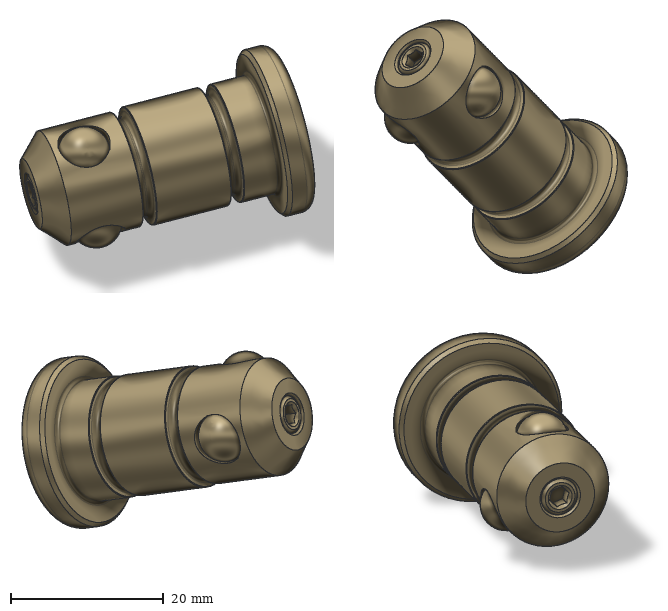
import cadquery as cq
import math


pin_length = 35.8
head_diameter = 22.5
head_thickness = 4.0
head_outer_round = 1.5
head_chamfer = 0.5
neck_fillet = 0.5
shank_radius = 8.0
nose_radius = 7.75
nose_taper = 3.0

groove_width = 1.7
groove_floor_radius = 6.65
groove_corner_radius = 0.75
groove_edge_chamfer = 0.1
groove_cut_clearance = 1.0
first_groove_center = 9.95
groove_spacing = 12.05
groove_count = 2

ball_radius = 3.43
ball_station = 28.5
ball_reach = 9.15
ball_count = 3
ball_center_radius = ball_reach - ball_radius

screw_radius = 2.5
screw_length = 4.0
screw_chamfer = 0.45
screw_hole_chamfer = 0.3
hexagon_sides = 6
socket_across_flats = 2.4
socket_depth = 2.0
socket_corner_radius = socket_across_flats / math.sqrt(3)
socket_mouth_radius = 1.65
socket_turn = 16.5

groove_centers = [first_groove_center + i * groove_spacing for i in range(groove_count)]
screw_end = pin_length - screw_length


def revolve_about_pin_axis(outline):
    """Revolve a closed (radius, y) outline about the Y axis."""
    return outline.close().revolve(360, (0, 0, 0), (0, 1, 0))


def cylinder(radius, start, end):
    """Cylinder on the pin axis between two stations."""
    return (
        cq.Workplane("XZ")
        .workplane(offset=start)
        .circle(radius)
        .extrude(end - start)
    )


def make_blank():
    """Solid turned pin; it steps down to the nose inside the last ring groove."""
    head_radius = head_diameter / 2
    nose_start = groove_centers[-1]
    return revolve_about_pin_axis(
        cq.Workplane("XY")
        .moveTo(0, 0)
        .lineTo(head_radius - head_outer_round, 0)
        .radiusArc((head_radius, -head_outer_round), head_outer_round)
        .lineTo(head_radius, head_chamfer - head_thickness)
        .lineTo(head_radius - head_chamfer, -head_thickness)
        .lineTo(shank_radius + neck_fillet, -head_thickness)
        .radiusArc((shank_radius, -head_thickness - neck_fillet), -neck_fillet)
        .lineTo(shank_radius, -nose_start)
        .lineTo(nose_radius, -nose_start)
        .lineTo(nose_radius, nose_taper - pin_length)
        .lineTo(nose_radius - nose_taper, -pin_length)
        .lineTo(0, -pin_length)
    )


def make_groove_cutter(center, far_rim):
    """Ring cut with chamfered rims: the shank on the head side, far_rim on the nose side."""
    half_width = groove_width / 2
    half_floor = half_width - groove_corner_radius
    half_mouth = half_width + groove_edge_chamfer
    corner_top = groove_floor_radius + groove_corner_radius
    clear_radius = shank_radius + groove_cut_clearance
    return revolve_about_pin_axis(
        cq.Workplane("XY")
        .moveTo(clear_radius, half_mouth - center)
        .lineTo(shank_radius, half_mouth - center)
        .lineTo(shank_radius - groove_edge_chamfer, half_width - center)
        .lineTo(corner_top, half_width - center)
        .radiusArc((groove_floor_radius, half_floor - center), -groove_corner_radius)
        .lineTo(groove_floor_radius, -half_floor - center)
        .radiusArc((corner_top, -half_width - center), -groove_corner_radius)
        .lineTo(far_rim - groove_edge_chamfer, -half_width - center)
        .lineTo(far_rim, -half_mouth - center)
        .lineTo(clear_radius, -half_mouth - center)
    )


def place_around_pin(shape, index):
    """Turn a shape about the pin axis to one of the evenly spaced ball positions."""
    return shape.rotate((0, 0, 0), (0, 1, 0), index * 360 / ball_count)


def make_ball(index):
    ball = cq.Workplane("XY").sphere(ball_radius)
    return place_around_pin(ball.translate((0, -ball_station, ball_center_radius)), index)


def make_ball_pocket(index):
    """Radial hole of the ball's diameter, ending in a spherical seat."""
    hole = (
        cq.Workplane("XY", origin=(0, -ball_station, ball_center_radius))
        .circle(ball_radius)
        .extrude(ball_reach - ball_center_radius)
    )
    return place_around_pin(hole, index).union(make_ball(index))


def make_screw_hole():
    hole = cylinder(screw_radius, screw_end, pin_length)
    mouth = revolve_about_pin_axis(
        cq.Workplane("XY")
        .moveTo(0, -pin_length)
        .lineTo(screw_radius + screw_hole_chamfer, -pin_length)
        .lineTo(screw_radius, screw_hole_chamfer - pin_length)
        .lineTo(0, screw_hole_chamfer - pin_length)
    )
    return hole.union(mouth)


def make_pin():
    pin = make_blank()
    far_rims = [shank_radius] * (groove_count - 1) + [nose_radius]
    for center, far_rim in zip(groove_centers, far_rims):
        pin = pin.cut(make_groove_cutter(center, far_rim))
    for index in range(ball_count):
        pin = pin.cut(make_ball_pocket(index))
    return pin.cut(make_screw_hole())


def make_set_screw():
    screw = cylinder(screw_radius, screw_end, pin_length).faces("<Y").chamfer(screw_chamfer)
    socket = (
        cq.Workplane("XZ")
        .workplane(offset=pin_length - socket_depth)
        .polygon(hexagon_sides, 2 * socket_corner_radius)
        .extrude(socket_depth)
        .rotate((0, 0, 0), (0, 1, 0), -socket_turn)
    )
    countersink = revolve_about_pin_axis(
        cq.Workplane("XY")
        .moveTo(0, -pin_length)
        .lineTo(socket_mouth_radius, -pin_length)
        .lineTo(0, socket_mouth_radius - pin_length)
    )
    return screw.cut(socket).cut(countersink)


pin = make_pin()
balls = [make_ball(index) for index in range(ball_count)]
set_screw = make_set_screw()

result = cq.Compound.makeCompound([pin.val(), *[ball.val() for ball in balls], set_screw.val()])